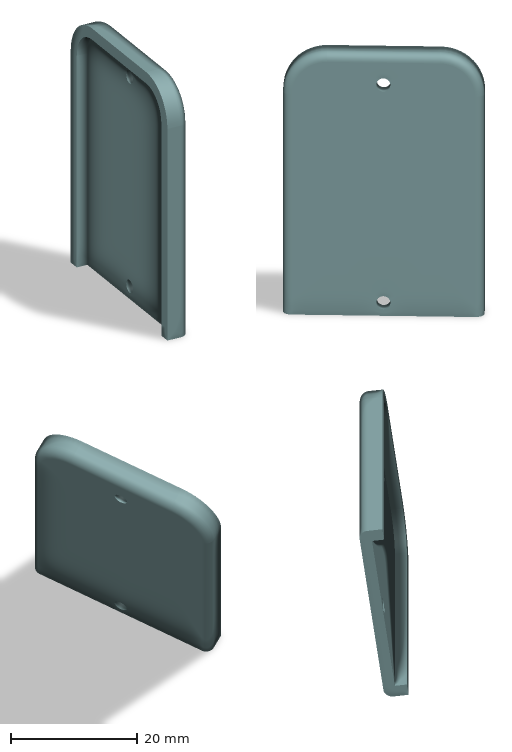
import cadquery as cq

width = 32.0
height = 44.4
thickness = 3.8
wall = 2.0
pocket_depth = 1.9
corner_radius = 7.0
back_fillet = 1.4
hole_diameter = 2.2
top_hole_drop = 5.2
bottom_hole_rise = 2.2
turn_angle = -45.0


def arched_block(block_width, block_height, depth, radius):
    """Block standing on Z = 0, front face at Y = 0, with rounded upper corners."""
    block = cq.Workplane("XY").box(block_width, depth, block_height, centered=(True, False, False))
    return block.edges("|Y and >Z").fillet(radius)


plate = arched_block(width, height, thickness, corner_radius)
plate = plate.faces(">Y").edges("not <Z").fillet(back_fillet)

pocket = arched_block(width - 2 * wall, height - wall, pocket_depth, corner_radius - wall)
plate = plate.cut(pocket)

for hole_height in (bottom_hole_rise, height - top_hole_drop):
    hole = (
        cq.Workplane("XZ")
        .center(0, hole_height)
        .circle(hole_diameter / 2)
        .extrude(-thickness)
    )
    plate = plate.cut(hole)

result = plate.rotate((0, 0, 0), (0, 0, 1), turn_angle)